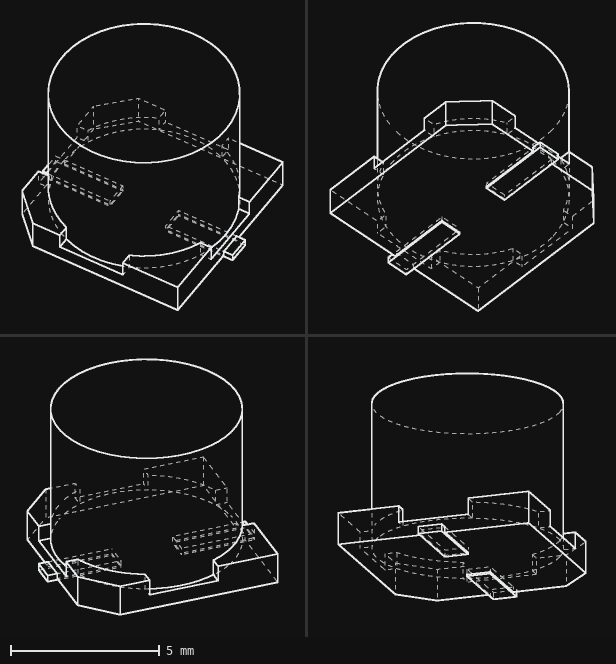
import cadquery as cq

base_width = 6.81
base_bottom = 0.06
base_top = 1.18
corner_clip = 1.1

notch_width = 2.48
floor_height = 0.61

can_diameter = 6.46
can_top = 5.74

overall_length = 7.49
lead_gap = 2.2
lead_width = 0.83
lead_thickness = 0.25


def make_can():
    """Plain cylinder from the base floor to the top."""
    return (
        cq.Workplane("XY")
        .workplane(offset=floor_height)
        .circle(can_diameter / 2)
        .extrude(can_top - floor_height)
    )


def make_lead(side):
    """Flat bar on the +X (side = 1) or -X (side = -1) half of the underside."""
    lead_length = (overall_length - lead_gap) / 2
    lead_center = side * (overall_length + lead_gap) / 4
    return (
        cq.Workplane("XY")
        .center(lead_center, 0)
        .rect(lead_length, lead_width)
        .extrude(lead_thickness)
    )


def make_edge_notches():
    """Two crossing bars that clear the middle of all four edges down to the floor."""
    notch_depth = base_top - floor_height
    floor_plane = cq.Workplane("XY").workplane(offset=floor_height)
    along_x = floor_plane.rect(base_width, notch_width).extrude(notch_depth)
    along_y = floor_plane.rect(notch_width, base_width).extrude(notch_depth)
    return along_x.union(along_y)


def make_base(can, leads):
    """Clipped square plate with edge notches, a can seat and lead recesses."""
    base = (
        cq.Workplane("XY")
        .workplane(offset=base_bottom)
        .rect(base_width, base_width)
        .extrude(base_top - base_bottom)
        .edges("|Z and <X")
        .chamfer(corner_clip)
        .cut(make_edge_notches())
        .cut(can)
    )
    for lead in leads:
        base = base.cut(lead)
    return base


can = make_can()
leads = [make_lead(side) for side in (-1, 1)]
base = make_base(can, leads)

result = cq.Compound.makeCompound([base.val(), can.val(), *[lead.val() for lead in leads]])